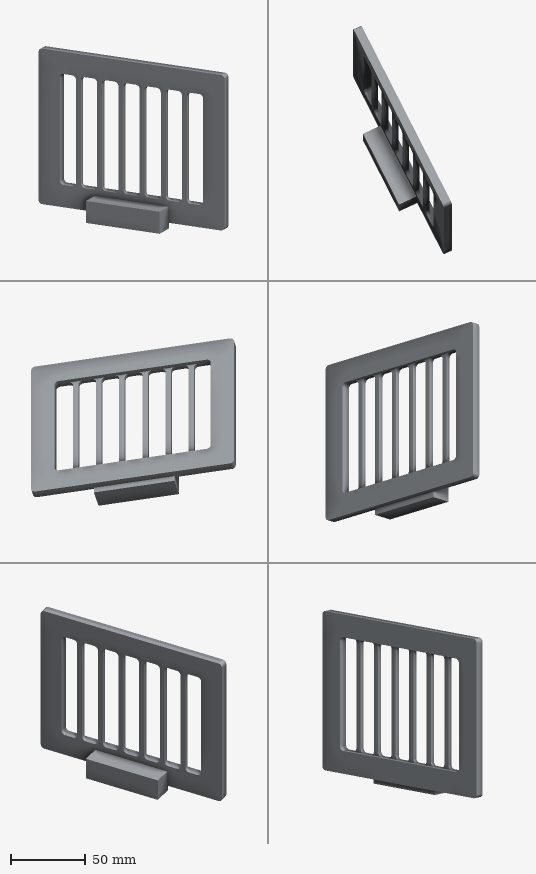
import cadquery as cq

plate_width = 140.0
plate_height = 109.8
plate_thickness = 6.0
plate_corner_radius = 2.7

slot_count = 7
slot_width = 12.2
slot_height = 78.3
slot_pitch = 16.0
slot_corner_radius = 3.0

bar_thickness = 3.1
bar_recess_depth = plate_thickness - bar_thickness
bar_recess_width = (slot_count - 1) * slot_pitch + slot_width

overall_depth = 19.0
overall_height = 114.0
block_width = 55.6
block_depth = 14.3
block_height = 15.5
block_drop = overall_height - plate_height


def rounded_upright(width, height, radius, depth=plate_thickness, center_x=0.0):
    """Round-cornered slab running forward from Y = 0, centred on the plate's height."""
    return (
        cq.Workplane("XY")
        .box(width, depth, height)
        .edges("|Y")
        .fillet(radius)
        .translate((center_x, -depth / 2, plate_height / 2))
    )


def make_plate():
    plate = rounded_upright(plate_width, plate_height, plate_corner_radius)
    for index in range(slot_count):
        slot_x = (index - (slot_count - 1) / 2) * slot_pitch
        plate = plate.cut(rounded_upright(slot_width, slot_height, slot_corner_radius, center_x=slot_x))
    bar_recess = rounded_upright(bar_recess_width, slot_height, slot_corner_radius, bar_recess_depth)
    return plate.cut(bar_recess)


def make_block():
    block = cq.Workplane("XY").box(block_width, block_depth, block_height, centered=(True, False, False))
    return block.translate((0, -overall_depth, -block_drop))


result = make_plate().union(make_block())